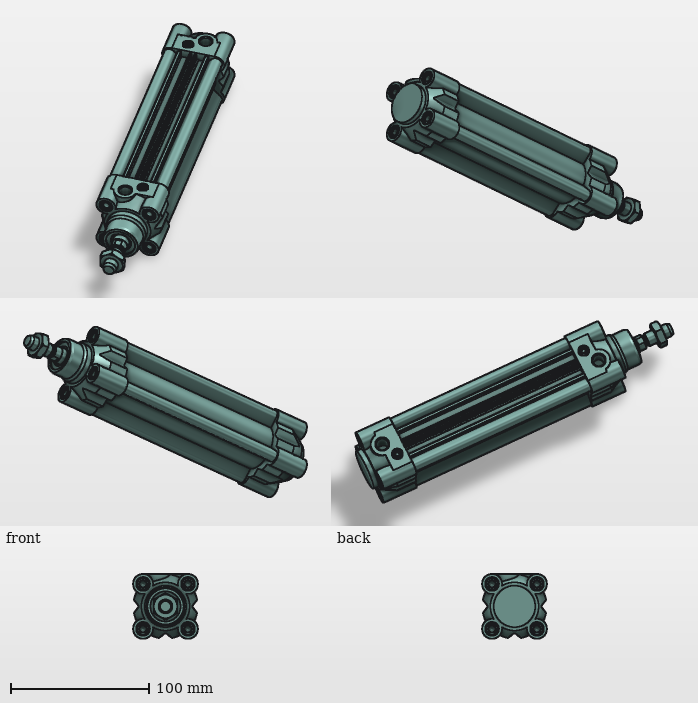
import cadquery as cq
import math


TOTAL_LENGTH = 246.0
BODY_WIDTH = 47.0
ROD_REACH = 48.0
REAR_COLLAR_LENGTH = 4.0
CAP_LENGTH = 26.5
COLLAR_DIAMETER = 30.0

BODY_LENGTH = TOTAL_LENGTH - ROD_REACH - REAR_COLLAR_LENGTH
BARREL_LENGTH = BODY_LENGTH - 2 * CAP_LENGTH

SCREW_SPACING = 32.5
SCREW_OFFSET = SCREW_SPACING / 2
BOSS_RADIUS = BODY_WIDTH / 2 - SCREW_OFFSET
CAP_CORE_RADIUS = 23.4
TAPER_LENGTH = 11.5
TAPER_END_RADIUS = 17.5
NOTCH_APEX = 19.2
NOTCH_ROOT_RADIUS = 1.0
NOTCH_WIDTH = 9.5

SCREW_RECESS_DIAMETER = 10.0
SCREW_RECESS_DEPTH = 2.0
SCREW_HEAD_DIAMETER = 8.5
SCREW_HEAD_HEIGHT = 1.5
SCREW_THREAD_DIAMETER = 6.0
SCREW_CORE_DIAMETER = 5.0
SCREW_HOLE_DEPTH = 9.8

PLATFORM_LENGTH = 15.3
PLATFORM_WIDTH = 32.0
PORT_X = 5.5
PORT_FROM_BARREL = 13.8
PORT_PAD_RADIUS = 8.4
PORT_DIAMETER = 8.5
PORT_RIM_DIAMETER = 10.3
PORT_FLOOR_RADIUS = 11.0
NEEDLE_X = 6.0
NEEDLE_FROM_BARREL = 7.1
NEEDLE_RECESS_DIAMETER = 7.9
NEEDLE_RECESS_DEPTH = 1.5
NEEDLE_HEAD_DIAMETER = 7.0
NEEDLE_HEAD_TOP_DIAMETER = 5.0
NEEDLE_HEAD_HEIGHT = 1.0
NEEDLE_SOCKET_WIDTH = 3.0
NEEDLE_SOCKET_DEPTH = 2.0

COLLAR_LENGTH = 4.5
COLLAR_TAPER_END = 6.6
NOSE_DIAMETER = 27.5
NOSE_LENGTH = 18.0
NOSE_EDGE_STEP = 0.7
NOSE_EDGE_LENGTH = 2.5
NOSE_RECESS_DIAMETER = 22.0
NOSE_RECESS_DEPTH = 1.2
SEAL_RECESS_DIAMETER = 15.3
SEAL_RECESS_DEPTH = 2.5

BARREL_HALF_WIDTH = 22.0
LOBE_RADIUS = 4.5
LOBE_CENTER = BARREL_HALF_WIDTH - LOBE_RADIUS
LOBE_INNER = LOBE_CENTER - LOBE_RADIUS * math.sqrt(0.5)
LOBE_OUTER = LOBE_CENTER + LOBE_RADIUS * math.sqrt(0.5)
FLANK_END = 8.5
SLOT_FLOOR = 16.7
LEDGE_HEIGHT = 17.5
RIB_CHAMFER = 0.5
OUTER_RIB = (8.9, 11.8)
INNER_RIB = (1.0, 2.7)
SLOT_INNER_EDGE = 4.2

ROD_DIAMETER = 12.0
ROD_REDUCTION = 20.2
ROD_END_DIAMETER = 11.0
ROD_SHOULDER = 26.0
ROD_SHOULDER_CHAMFER = 0.7
ROD_FLAT_WIDTH = 10.0
NECK_DIAMETER = 7.9
NECK_LENGTH = 2.2
THREAD_DIAMETER = 10.0
THREAD_TIP_DIAMETER = 7.9
THREAD_TIP_LENGTH = 2.2
THREAD_RUNOUT = 0.7
NUT_WIDTH = 17.0
NUT_THICKNESS = 6.0
NUT_START = 35.0


def turned(points):
    """Solid of revolution about Y from (radius, y) points."""
    return cq.Workplane("XY").polyline(points).close().revolve(360, (0, 0, 0), (0, 1, 0))


def rod_along_y(diameter, start, end, x=0, z=0):
    """Cylinder parallel to Y between two y values."""
    plane = cq.Workplane("XZ", origin=(0, start, 0))
    return plane.center(x, z).circle(diameter / 2).extrude(start - end)


def cap_core():
    """Round core with a conical front end and a V-notch in both sides and the bottom."""
    core = turned([
        (0, 0),
        (TAPER_END_RADIUS, 0),
        (CAP_CORE_RADIUS, TAPER_LENGTH),
        (CAP_CORE_RADIUS, CAP_LENGTH),
        (0, CAP_LENGTH),
    ])
    surface = math.sqrt(CAP_CORE_RADIUS ** 2 - (NOTCH_WIDTH / 2) ** 2)
    depth = surface - NOTCH_APEX
    half_angle = math.atan2(NOTCH_WIDTH / 2, depth)
    root_center = NOTCH_APEX + NOTCH_ROOT_RADIUS / math.sin(half_angle)
    tangent_x = root_center - NOTCH_ROOT_RADIUS * math.sin(half_angle)
    tangent_z = NOTCH_ROOT_RADIUS * math.cos(half_angle)
    mouth = NOTCH_APEX + 2 * depth
    notch = (
        cq.Workplane("XZ")
        .moveTo(mouth, NOTCH_WIDTH)
        .lineTo(tangent_x, tangent_z)
        .threePointArc((root_center - NOTCH_ROOT_RADIUS, 0), (tangent_x, -tangent_z))
        .lineTo(mouth, -NOTCH_WIDTH)
        .close()
        .extrude(-CAP_LENGTH)
    )
    for angle in (0, 90, 180):
        core = core.cut(notch.rotate((0, 0, 0), (0, 1, 0), angle))
    return core


def screw_cut():
    """Material removed around one tie screw: annular recess and threaded hole with a drilled tip."""
    recess = rod_along_y(SCREW_RECESS_DIAMETER, 0, SCREW_RECESS_DEPTH)
    head_face = SCREW_RECESS_DEPTH - SCREW_HEAD_HEIGHT
    head = rod_along_y(SCREW_HEAD_DIAMETER, head_face, SCREW_RECESS_DEPTH)
    core_radius = SCREW_CORE_DIAMETER / 2
    mouth_radius = SCREW_THREAD_DIAMETER / 2
    hole = turned([
        (0, head_face),
        (mouth_radius, head_face),
        (core_radius, head_face + mouth_radius - core_radius),
        (core_radius, SCREW_HOLE_DEPTH),
        (0, SCREW_HOLE_DEPTH + core_radius),
    ])
    return recess.cut(head).union(hole)


def platform():
    """Flat-topped connection block with a round pad around the port."""
    top = BODY_WIDTH / 2
    block = cq.Workplane("XY").box(PLATFORM_WIDTH, PLATFORM_LENGTH, top, centered=(True, False, False))
    block = block.translate((0, CAP_LENGTH - PLATFORM_LENGTH, 0))
    pad = cq.Workplane("XY", origin=(-PORT_X, CAP_LENGTH - PORT_FROM_BARREL, 0))
    pad = pad.circle(PORT_PAD_RADIUS).extrude(top)
    return block.union(pad)


def port_cut():
    """Air port with a chamfered rim, ending on a cylinder about the main axis."""
    top = BODY_WIDTH / 2
    center = (-PORT_X, CAP_LENGTH - PORT_FROM_BARREL)
    rim_height = (PORT_RIM_DIAMETER - PORT_DIAMETER) / 2
    rim_start = cq.Vector(*center, top - rim_height)
    rim_cone = cq.Solid.makeCone(PORT_DIAMETER / 2, PORT_RIM_DIAMETER / 2, rim_height, rim_start)
    port = cq.Workplane("XY").center(*center).circle(PORT_DIAMETER / 2).extrude(top)
    port = port.union(cq.Workplane(rim_cone))
    return port.cut(rod_along_y(2 * PORT_FLOOR_RADIUS, 0, CAP_LENGTH))


def needle_cut():
    """Recess around the cushioning needle, with the needle's tapered head and its hex socket."""
    def plane(depth):
        height = BODY_WIDTH / 2 - depth
        return cq.Workplane("XY", origin=(NEEDLE_X, CAP_LENGTH - NEEDLE_FROM_BARREL, height))

    recess = plane(NEEDLE_RECESS_DEPTH).circle(NEEDLE_RECESS_DIAMETER / 2).extrude(NEEDLE_RECESS_DEPTH)
    head = plane(NEEDLE_RECESS_DEPTH).circle(NEEDLE_HEAD_DIAMETER / 2).workplane(offset=NEEDLE_HEAD_HEIGHT)
    head = head.circle(NEEDLE_HEAD_TOP_DIAMETER / 2).loft()
    socket_across_corners = NEEDLE_SOCKET_WIDTH / math.cos(math.pi / 6)
    socket = plane(NEEDLE_SOCKET_DEPTH).polygon(6, socket_across_corners).extrude(NEEDLE_SOCKET_DEPTH)
    return recess.cut(head).union(socket)


def make_cap():
    """End cap with its outer face at Y = 0 and its barrel side at Y = CAP_LENGTH."""
    cap = cap_core().union(platform())
    corners = [(x, z) for x in (-SCREW_OFFSET, SCREW_OFFSET) for z in (-SCREW_OFFSET, SCREW_OFFSET)]
    for x, z in corners:
        cap = cap.union(rod_along_y(2 * BOSS_RADIUS, 0, CAP_LENGTH, x, z))
    for x, z in corners:
        cap = cap.cut(screw_cut().translate((x, 0, z)))
    return cap.cut(port_cut()).cut(needle_cut())


def make_front_cap():
    """Cap with the stepped nose, its two front recesses and the rod bore."""
    nose_radius = NOSE_DIAMETER / 2
    nose = turned([
        (0, 0),
        (COLLAR_DIAMETER / 2, 0),
        (COLLAR_DIAMETER / 2, -COLLAR_LENGTH),
        (nose_radius, -COLLAR_TAPER_END),
        (nose_radius, NOSE_EDGE_LENGTH - NOSE_LENGTH),
        (nose_radius - NOSE_EDGE_STEP, -NOSE_LENGTH),
        (0, -NOSE_LENGTH),
    ])
    recess = rod_along_y(NOSE_RECESS_DIAMETER, -NOSE_LENGTH, NOSE_RECESS_DEPTH - NOSE_LENGTH)
    seal_recess = rod_along_y(SEAL_RECESS_DIAMETER, -NOSE_LENGTH, SEAL_RECESS_DEPTH - NOSE_LENGTH)
    rod_bore = rod_along_y(ROD_DIAMETER, -NOSE_LENGTH, CAP_LENGTH)
    return make_cap().union(nose).cut(recess).cut(seal_recess).cut(rod_bore)


def make_rear_cap():
    """Cap turned half round about Z, with a plain centring collar."""
    collar = rod_along_y(COLLAR_DIAMETER, -REAR_COLLAR_LENGTH, 0)
    cap = make_cap().union(collar)
    return cap.rotate((0, 0, 0), (0, 0, 1), 180).translate((0, BODY_LENGTH, 0))


def rib_top(inner, outer):
    """Points (x, z) over the chamfered top of a rib between two x values."""
    shoulder = BARREL_HALF_WIDTH - RIB_CHAMFER
    return [
        (inner, shoulder),
        (inner + RIB_CHAMFER, BARREL_HALF_WIDTH),
        (outer - RIB_CHAMFER, BARREL_HALF_WIDTH),
        (outer, shoulder),
    ]


def quarter_turned(x, z, turns):
    """Point (x, z) turned clockwise about the axis by a number of quarter turns."""
    for _ in range(turns):
        x, z = z, -x
    return (x, z)


def barrel_top_edge():
    """Points (x, z) of the slotted top side, from the left flank to the right one."""
    middle_rib = rib_top(*INNER_RIB)
    outer_rib = rib_top(*OUTER_RIB)
    right = [
        (INNER_RIB[0], SLOT_FLOOR),
        *middle_rib,
        (INNER_RIB[1], LEDGE_HEIGHT),
        (SLOT_INNER_EDGE, LEDGE_HEIGHT),
        (SLOT_INNER_EDGE, SLOT_FLOOR),
        (OUTER_RIB[0], SLOT_FLOOR),
        *outer_rib,
        (OUTER_RIB[1], LOBE_OUTER - (LOBE_INNER - OUTER_RIB[1])),
        (LOBE_INNER, LOBE_OUTER),
    ]
    left = [(-x, z) for x, z in reversed(right)]
    return left + right


def make_barrel():
    """Extruded profile: four corner lobes, round sides and bottom, slotted top."""
    flank_depth = LOBE_OUTER - (LOBE_INNER - FLANK_END)
    side_radius = math.hypot(flank_depth, FLANK_END)

    profile = cq.Workplane("XZ", origin=(0, CAP_LENGTH, 0)).polyline(barrel_top_edge())
    for turns in range(4):
        lobe_middle = quarter_turned(LOBE_OUTER, LOBE_OUTER, turns)
        lobe_end = quarter_turned(LOBE_OUTER, LOBE_INNER, turns)
        profile = profile.threePointArc(lobe_middle, lobe_end)
        if turns < 3:
            side_middle = quarter_turned(side_radius, 0, turns)
            side_end = quarter_turned(flank_depth, -FLANK_END, turns)
            profile = profile.lineTo(*quarter_turned(flank_depth, FLANK_END, turns))
            profile = profile.threePointArc(side_middle, side_end)
            profile = profile.lineTo(*quarter_turned(LOBE_OUTER, -LOBE_INNER, turns))
    return profile.close().extrude(-BARREL_LENGTH)


def make_piston_rod():
    """Rod through the front cap, with wrench flats, neck and threaded end."""
    rod_radius = ROD_DIAMETER / 2
    end_radius = ROD_END_DIAMETER / 2
    neck_radius = NECK_DIAMETER / 2
    thread_radius = THREAD_DIAMETER / 2
    neck_end = -ROD_SHOULDER - NECK_LENGTH
    rod = turned([
        (0, CAP_LENGTH),
        (rod_radius, CAP_LENGTH),
        (rod_radius, -ROD_REDUCTION),
        (end_radius, rod_radius - end_radius - ROD_REDUCTION),
        (end_radius, ROD_SHOULDER_CHAMFER - ROD_SHOULDER),
        (end_radius - ROD_SHOULDER_CHAMFER, -ROD_SHOULDER),
        (neck_radius, -ROD_SHOULDER),
        (neck_radius, neck_end + THREAD_RUNOUT),
        (thread_radius, neck_end),
        (thread_radius, THREAD_TIP_LENGTH - ROD_REACH),
        (THREAD_TIP_DIAMETER / 2, -ROD_REACH),
        (0, -ROD_REACH),
    ])
    flat_length = ROD_SHOULDER - ROD_REDUCTION - (rod_radius - end_radius)
    for side in (-1, 1):
        flat = cq.Workplane("XY").box(ROD_DIAMETER, flat_length, ROD_DIAMETER, centered=(True, False, True))
        rod = rod.cut(flat.translate((0, -ROD_SHOULDER, side * (ROD_FLAT_WIDTH + ROD_DIAMETER) / 2)))
    return rod


def make_nut():
    """Hex nut on the rod thread, corners up and down, corners chamfered on both faces."""
    across_corners = NUT_WIDTH / math.cos(math.pi / 6)
    corner_radius = across_corners / 2
    flat_radius = NUT_WIDTH / 2
    slope = (corner_radius - flat_radius) * math.tan(math.pi / 6)
    hexagon = (
        cq.Workplane("XZ", origin=(0, -NUT_START, 0))
        .transformed(rotate=(0, 0, 90))
        .polygon(6, across_corners)
        .extrude(NUT_THICKNESS)
    )
    chamfer_cone = turned([
        (0, -NUT_START),
        (flat_radius, -NUT_START),
        (corner_radius, -NUT_START - slope),
        (corner_radius, slope - NUT_START - NUT_THICKNESS),
        (flat_radius, -NUT_START - NUT_THICKNESS),
        (0, -NUT_START - NUT_THICKNESS),
    ])
    thread_hole = rod_along_y(THREAD_DIAMETER, -NUT_START - NUT_THICKNESS, -NUT_START)
    return hexagon.intersect(chamfer_cone).cut(thread_hole)


front_cap = make_front_cap().solids()
rear_cap = make_rear_cap().solids()
barrel = make_barrel().solids()
piston_rod = make_piston_rod().solids()
nut = make_nut().solids()

result = cq.Compound.makeCompound([
    front_cap.val(),
    rear_cap.val(),
    barrel.val(),
    piston_rod.val(),
    nut.val(),
])